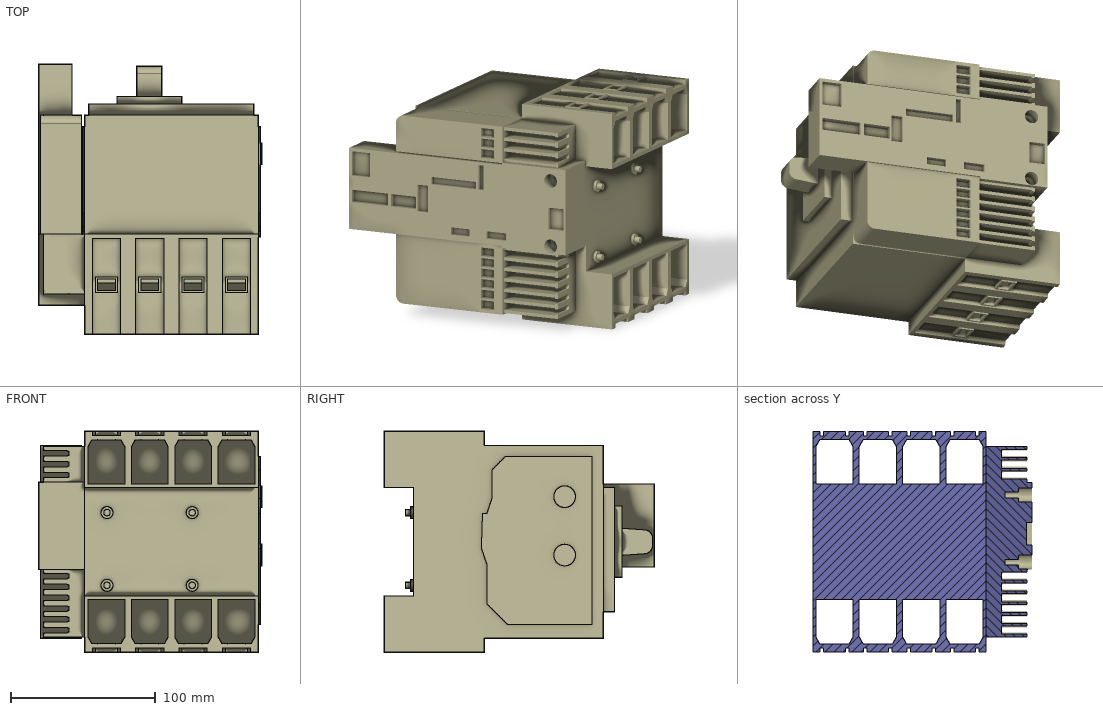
import cadquery as cq

HOUSING_WIDTH = 120.2
HOUSING_FRONT = 20.2
HOUSING_BACK = 151.7
HOUSING_HALF_HEIGHT = 66.8

POLE_COUNT = 4
POLE_PITCH = 30.01
TERMINAL_DEPTH = 69.4
TERMINAL_INNER_Z = 37.4
TERMINAL_OUTER_Z = 76.5
CELL_WIDTH = 25.5
CELL_DEPTH = 56.1
CELL_INNER_Z = 40.0
CELL_OUTER_Z = 70.5
CELL_CORNER_X = 2.6
CELL_CORNER_Z = 4.7
GROOVE_WIDTH = 19.5
GROOVE_LENGTH = 66.4
GROOVE_DEPTH = 3.0
FRAME_WIDTH = 15.3
FRAME_LENGTH = 10.8
FRAME_CENTER_Y = 34.5
FRAME_WALL = 1.5
FRAME_STEP_LENGTH = 2.8
FRAME_STEP_DEPTH = 1.5

PLATE_THICKNESS = 1.3
PLATE_OUTLINE = [
    (143.8, 59.0),
    (84.0, 59.0),
    (74.6, 49.7),
    (74.6, 30.1),
    (71.0, 19.5),
    (68.0, 19.5),
    (67.3, -4.5),
    (71.0, -15.3),
    (71.0, -42.8),
    (85.5, -57.2),
    (143.8, -57.2),
]
BOSS_RADIUS = 7.5
BOSS_HEIGHT = 1.1
BOSS_Y = 125.0
BOSS_Z_PLACES = (31.2, -9.2)

SCREW_X_PLACES = (15.5, 74.5)
SCREW_Z_PLACES = (20.2, -30.1)
WASHER_RADIUS = 4.1
WASHER_THICKNESS = 1.9
SHANK_RADIUS = 2.2
SHANK_LENGTH = 5.5

COVER_LEFT = 2.8
COVER_WIDTH = 114.3
COVER_BACK = 159.5
COVER_BOTTOM = -48.5
COVER_TOP = 37.4
RISER_LEFT = 22.5
RISER_WIDTH = 44.9
RISER_BACK = 164.7
RISER_HALF_HEIGHT = 24.7
HANDLE_LEFT = 36.0
HANDLE_WIDTH = 17.4
HANDLE_BACK = 185.7
HANDLE_ROOT_HALF_HEIGHT = 9.4
HANDLE_TIP_HALF_HEIGHT = 7.9
HANDLE_TIP_ROUND = 5.6

MODULE_LEFT = -31.8
SPINE_BACK = 187.0
SPINE_BACK_RIGHT = -8.6
SPINE_TOP = 40.0
SPINE_BOTTOM = -17.5
SPINE_FRONT_TOP = 41.3
SPINE_FRONT_BOTTOM = -19.3
WING_LEFT = -30.5
WING_RIGHT = -2.0
WING_ROUND = 5.6
WING_INNER_TOP = 41.0
VENT_BOX_LEFT = -28.2
VENT_BOX_FRONT = 28.0
VENT_BOX_HALF_HEIGHT = 66.0
VENT_OUTER_Z = 61.1
VENT_PITCH = 7.5
UPPER_VENT_COUNT = 3
LOWER_VENT_COUNT = 6
VENT_HEIGHT = 5.2
VENT_DEPTH = 17.5
VENT_FRONT_WALL = 2.0
SLIT_HEIGHT = 3.7
WINDOW_FRONT = 76.1
WINDOW_LENGTH = 10.1
WINDOW_HEIGHT = 6.2
WINDOW_DEPTH = 5.6
RECESS_DEPTH = 4.0
DEEP_RECESS_DEPTH = 5.2
RECESSES = [
    (171.0, 14.0, 20.5, 17.2, RECESS_DEPTH),
    (157.0, 27.9, 1.7, 8.8, DEEP_RECESS_DEPTH),
    (135.5, 19.0, 1.7, 8.8, DEEP_RECESS_DEPTH),
    (126.2, 8.0, 0.2, 19.0, RECESS_DEPTH),
    (89.4, 34.5, 20.5, 5.2, RECESS_DEPTH),
    (83.5, 3.7, 20.5, 17.4, RECESS_DEPTH),
    (94.5, 14.0, -13.7, 5.2, RECESS_DEPTH),
    (66.4, 14.8, -13.7, 5.2, RECESS_DEPTH),
    (22.0, 11.2, -2.0, 15.3, RECESS_DEPTH),
]
SPINE_HOLE_Y = 31.8
SPINE_HOLE_Z_PLACES = (32.4, -14.0)
SPINE_HOLE_RADIUS = 2.5
SPINE_HOLE_DEPTH = 18.7
COUNTERBORE_RADIUS = 4.9
COUNTERBORE_DEPTH = 9.4


def block(x_range, y_range, z_range):
    """Box between the given (low, high) limits."""
    lows, highs = zip(x_range, y_range, z_range)
    sizes = [high - low for low, high in zip(lows, highs)]
    return cq.Workplane("XY").box(*sizes, centered=False).translate(lows)


def cylinder_along_x(x_start, length, y, z, radius):
    """Cylinder growing toward +X from x_start."""
    return cq.Workplane("YZ", origin=(x_start, y, z)).circle(radius).extrude(length)


def cylinder_along_y(y_end, length, x, z, radius):
    """Cylinder growing toward -Y from y_end."""
    return cq.Workplane("XZ", origin=(x, y_end, z)).circle(radius).extrude(length)


def pole_centers():
    first = HOUSING_WIDTH / 2 - POLE_PITCH * (POLE_COUNT - 1) / 2
    return [first + POLE_PITCH * pole for pole in range(POLE_COUNT)]


def terminal_cell(center_x):
    """Wire opening with its two outer corners cut off."""
    half = CELL_WIDTH / 2
    outline = [
        (-half, CELL_INNER_Z),
        (half, CELL_INNER_Z),
        (half, CELL_OUTER_Z - CELL_CORNER_Z),
        (half - CELL_CORNER_X, CELL_OUTER_Z),
        (-half + CELL_CORNER_X, CELL_OUTER_Z),
        (-half, CELL_OUTER_Z - CELL_CORNER_Z),
    ]
    return cq.Workplane("XZ", origin=(center_x, 0, 0)).polyline(outline).close().extrude(-CELL_DEPTH)


def terminal_groove(center_x):
    """Open-fronted groove, leaving a raised frame around a stepped window into the cell."""
    half = GROOVE_WIDTH / 2
    floor = TERMINAL_OUTER_Z - GROOVE_DEPTH
    groove_z = (floor, TERMINAL_OUTER_Z)
    groove = block((center_x - half, center_x + half), (0, GROOVE_LENGTH), groove_z)

    half = FRAME_WIDTH / 2
    front = FRAME_CENTER_Y - FRAME_LENGTH / 2
    back = FRAME_CENTER_Y + FRAME_LENGTH / 2
    frame = block((center_x - half, center_x + half), (front, back), groove_z)

    window_x = (center_x - half + FRAME_WALL, center_x + half - FRAME_WALL)
    window_back = back - FRAME_WALL
    step_front = window_back - FRAME_STEP_LENGTH
    window = block(window_x, (front + FRAME_WALL, step_front), (CELL_OUTER_Z, TERMINAL_OUTER_Z))
    step = block(window_x, (step_front, window_back), (TERMINAL_OUTER_Z - FRAME_STEP_DEPTH, TERMINAL_OUTER_Z))
    return groove.cut(frame).union(window).union(step)


def upper_terminal_block():
    terminals = block((0, HOUSING_WIDTH), (0, TERMINAL_DEPTH), (TERMINAL_INNER_Z, TERMINAL_OUTER_Z))
    for center_x in pole_centers():
        terminals = terminals.cut(terminal_cell(center_x)).cut(terminal_groove(center_x))
    return terminals


def terminal_cutaway():
    """Space of the upper terminal block inside the plain housing body."""
    return block((0, HOUSING_WIDTH), (0, TERMINAL_DEPTH), (TERMINAL_INNER_Z, TERMINAL_OUTER_Z))


def side_plate(x_start):
    return cq.Workplane("YZ", origin=(x_start, 0, 0)).polyline(PLATE_OUTLINE).close().extrude(PLATE_THICKNESS)


def make_housing():
    body = block(
        (0, HOUSING_WIDTH),
        (HOUSING_FRONT, HOUSING_BACK),
        (-HOUSING_HALF_HEIGHT, HOUSING_HALF_HEIGHT),
    )
    upper_cutaway = terminal_cutaway()
    body = body.cut(upper_cutaway).cut(upper_cutaway.mirror("XY"))
    upper_terminals = upper_terminal_block()
    body = body.union(upper_terminals).union(upper_terminals.mirror("XY"))
    body = body.union(side_plate(-PLATE_THICKNESS)).union(side_plate(HOUSING_WIDTH))
    for z in BOSS_Z_PLACES:
        boss_height = PLATE_THICKNESS + BOSS_HEIGHT
        body = body.union(cylinder_along_x(HOUSING_WIDTH, boss_height, BOSS_Y, z, BOSS_RADIUS))
    return body


def make_screw(x, z):
    washer = cylinder_along_y(HOUSING_FRONT, WASHER_THICKNESS, x, z, WASHER_RADIUS)
    return washer.union(cylinder_along_y(HOUSING_FRONT, SHANK_LENGTH, x, z, SHANK_RADIUS))


def make_cover():
    base = block(
        (COVER_LEFT, COVER_LEFT + COVER_WIDTH),
        (HOUSING_BACK, COVER_BACK),
        (COVER_BOTTOM, COVER_TOP),
    )
    riser = block(
        (RISER_LEFT, RISER_LEFT + RISER_WIDTH),
        (COVER_BACK, RISER_BACK),
        (-RISER_HALF_HEIGHT, RISER_HALF_HEIGHT),
    )
    return base.union(riser)


def make_handle():
    """Slightly tapered toggle with rounded tip edges."""
    outline = [
        (RISER_BACK, -HANDLE_ROOT_HALF_HEIGHT),
        (HANDLE_BACK, -HANDLE_TIP_HALF_HEIGHT),
        (HANDLE_BACK, HANDLE_TIP_HALF_HEIGHT),
        (RISER_BACK, HANDLE_ROOT_HALF_HEIGHT),
    ]
    toggle = cq.Workplane("YZ", origin=(HANDLE_LEFT, 0, 0)).polyline(outline).close().extrude(HANDLE_WIDTH)
    return toggle.faces(">Y").edges("|X").fillet(HANDLE_TIP_ROUND)


def module_spine():
    """Flat centre piece: tall in front, narrow behind the housing."""
    front = block(
        (MODULE_LEFT, 0),
        (HOUSING_FRONT, TERMINAL_DEPTH),
        (SPINE_FRONT_BOTTOM, SPINE_FRONT_TOP),
    )
    middle = block((MODULE_LEFT, WING_RIGHT), (TERMINAL_DEPTH, HOUSING_BACK), (SPINE_BOTTOM, SPINE_TOP))
    back = block((MODULE_LEFT, SPINE_BACK_RIGHT), (HOUSING_BACK, SPINE_BACK), (SPINE_BOTTOM, SPINE_TOP))
    return front.union(middle).union(back)


def module_wings():
    """Body behind the spine with rounded rear edges, relieved by a thin gap over the spine."""
    wings = block(
        (WING_LEFT, WING_RIGHT),
        (TERMINAL_DEPTH, HOUSING_BACK),
        (-HOUSING_HALF_HEIGHT, HOUSING_HALF_HEIGHT),
    )
    wings = wings.faces(">Y").edges("|X").fillet(WING_ROUND)
    gap = block((WING_LEFT, VENT_BOX_LEFT), (TERMINAL_DEPTH, HOUSING_BACK), (SPINE_TOP, WING_INNER_TOP))
    return wings.cut(gap)


def vent_box():
    return block(
        (VENT_BOX_LEFT, 0),
        (VENT_BOX_FRONT, TERMINAL_DEPTH),
        (-VENT_BOX_HALF_HEIGHT, VENT_BOX_HALF_HEIGHT),
    )


def vent_levels():
    upper = [VENT_OUTER_Z - VENT_PITCH * row for row in range(UPPER_VENT_COUNT)]
    lower = [-VENT_OUTER_Z + VENT_PITCH * row for row in range(LOWER_VENT_COUNT)]
    return upper + lower


def vent(z):
    """Wide slot open to the left, with a round-ended slit through the front wall."""
    slot_y = (VENT_BOX_FRONT + VENT_FRONT_WALL, TERMINAL_DEPTH)
    slot_z = (z - VENT_HEIGHT / 2, z + VENT_HEIGHT / 2)
    slot = block((VENT_BOX_LEFT, VENT_BOX_LEFT + VENT_DEPTH), slot_y, slot_z)

    round_x = VENT_BOX_LEFT + VENT_DEPTH - SLIT_HEIGHT / 2
    wall_back = VENT_BOX_FRONT + VENT_FRONT_WALL
    slit_z = (z - SLIT_HEIGHT / 2, z + SLIT_HEIGHT / 2)
    slit = block((VENT_BOX_LEFT, round_x), (VENT_BOX_FRONT, wall_back), slit_z)
    slit_end = cylinder_along_y(wall_back, VENT_FRONT_WALL, round_x, z, SLIT_HEIGHT / 2)
    return slot.union(slit).union(slit_end)


def window(z):
    return block(
        (WING_LEFT, WING_LEFT + WINDOW_DEPTH),
        (WINDOW_FRONT, WINDOW_FRONT + WINDOW_LENGTH),
        (z - WINDOW_HEIGHT / 2, z + WINDOW_HEIGHT / 2),
    )


def counterbored_hole(z):
    hole = cylinder_along_x(MODULE_LEFT, SPINE_HOLE_DEPTH, SPINE_HOLE_Y, z, SPINE_HOLE_RADIUS)
    return hole.union(cylinder_along_x(MODULE_LEFT, COUNTERBORE_DEPTH, SPINE_HOLE_Y, z, COUNTERBORE_RADIUS))


def make_module():
    body = module_wings().union(vent_box())
    for z in vent_levels():
        body = body.cut(vent(z)).cut(window(z))
    body = body.union(module_spine())
    for y, length, z, height, depth in RECESSES:
        recess = block((MODULE_LEFT, MODULE_LEFT + depth), (y, y + length), (z, z + height))
        body = body.cut(recess)
    for z in SPINE_HOLE_Z_PLACES:
        body = body.cut(counterbored_hole(z))
    return body.cut(side_plate(-PLATE_THICKNESS))


housing = make_housing()
screws = [make_screw(x, z) for x in SCREW_X_PLACES for z in SCREW_Z_PLACES]
cover = make_cover()
handle = make_handle()
module = make_module()

result = cq.Compound.makeCompound(
    [housing.val(), *[screw.val() for screw in screws], cover.val(), handle.val(), module.val()]
)